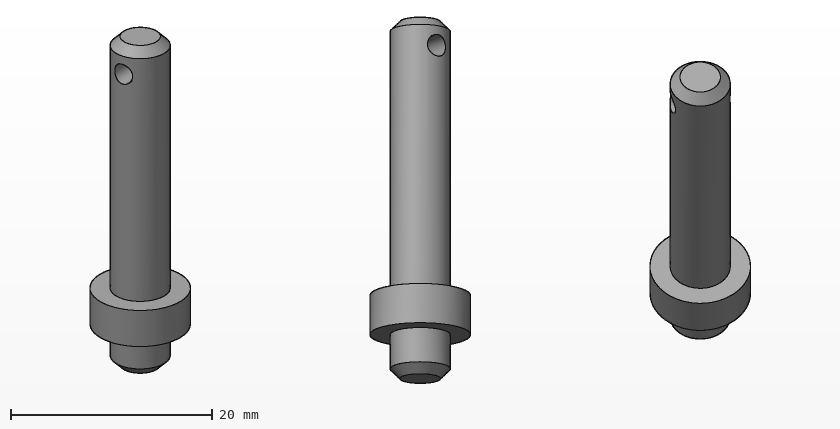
import cadquery as cq

total_length = 36.5
shaft_diameter = 6.0
end_chamfer = 1.0

collar_diameter = 10.0
collar_height = 4.0
stub_length = 4.5

hole_diameter = 2.2
hole_from_top = 3.0


def make_shaft():
    """Full-length round pin, standing on Z = 0, with both ends chamfered."""
    shaft = cq.Workplane("XY").circle(shaft_diameter / 2).extrude(total_length)
    return shaft.faces("<Z or >Z").chamfer(end_chamfer)


def make_collar():
    """Plain round collar around the shaft."""
    return (
        cq.Workplane("XY")
        .workplane(offset=stub_length)
        .circle(collar_diameter / 2)
        .extrude(collar_height)
    )


def make_cross_hole():
    """Cutter along Y, passing right through the shaft."""
    return (
        cq.Workplane("XZ")
        .center(0, total_length - hole_from_top)
        .circle(hole_diameter / 2)
        .extrude(shaft_diameter, both=True)
    )


result = make_shaft().union(make_collar()).cut(make_cross_hole())